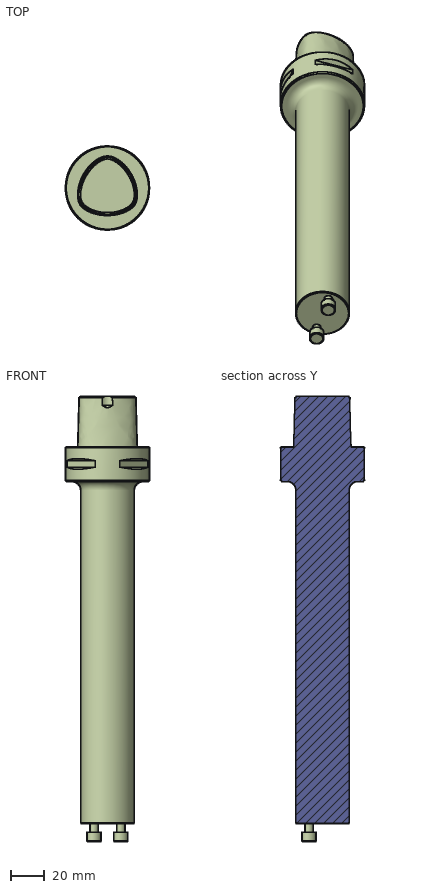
import cadquery as cq
import math

total_height = 264.0
shank_height = 30.0
flange_top = total_height - shank_height
flange_height = 19.8
flange_bottom = flange_top - flange_height
bar_bottom = 10.8

flange_radius = 50.0 / 2
bar_radius = 32.0 / 2
neck_fillet = 5.0
flange_top_chamfer = 0.5
flange_bottom_chamfer = 0.8
bar_chamfer = 0.5

shank_base_radius = 17.7
shank_taper = 1 / 20
lobe_height = 1.3
shank_chamfer = 1.0
outline_points = 48

notch_radius = 4.2
notch_center_y = -18.5
notch_depth = 5.3

groove_z = 224.0
groove_depth = 3.0
groove_floor_height = 3.7
groove_mouth_height = 6.3
groove_angles = (45, 135, 225, 315)

screw_offset = 8.0
screw_head_radius = 8.5 / 2
screw_stem_radius = 5.0 / 2
screw_head_height = 5.8
screw_chamfer = 0.5


def turned_body():
    """Bar, filleted neck and flange revolved about Z."""
    neck_top = flange_bottom - flange_bottom_chamfer
    neck_bottom = neck_top - neck_fillet
    neck_outer_radius = bar_radius + neck_fillet
    fillet_reach = neck_fillet * (1 - math.sqrt(0.5))
    profile = (
        cq.Workplane("XZ")
        .moveTo(0, bar_bottom)
        .lineTo(bar_radius - bar_chamfer, bar_bottom)
        .lineTo(bar_radius, bar_bottom + bar_chamfer)
        .lineTo(bar_radius, neck_bottom)
        .threePointArc(
            (bar_radius + fillet_reach, neck_top - fillet_reach),
            (neck_outer_radius, neck_top),
        )
        .lineTo(flange_radius - flange_bottom_chamfer, neck_top)
        .lineTo(flange_radius, flange_bottom)
        .lineTo(flange_radius, flange_top - flange_top_chamfer)
        .lineTo(flange_radius - flange_top_chamfer, flange_top)
        .lineTo(0, flange_top)
        .close()
    )
    return profile.revolve(360, (0, 0), (0, 1))


def shank_outline(mean_radius, height):
    """Closed three-lobed curve of constant width with one lobe toward +Y."""
    points = []
    for index in range(outline_points):
        normal = 2 * math.pi * index / outline_points
        distance = mean_radius - lobe_height * math.sin(3 * normal)
        shift = -3 * lobe_height * math.cos(3 * normal)
        points.append(cq.Vector(
            distance * math.cos(normal) - shift * math.sin(normal),
            distance * math.sin(normal) + shift * math.cos(normal),
            height,
        ))
    edge = cq.Edge.makeSpline(points, periodic=True)
    return cq.Wire.assembleEdges([edge])


def shank():
    """Tapered shank with a chamfered top edge."""
    chamfer_height = total_height - shank_chamfer
    top_radius = shank_base_radius - shank_height * shank_taper / 2
    base = shank_outline(shank_base_radius, flange_top)
    shoulder = shank_outline(top_radius, chamfer_height)
    top = shank_outline(top_radius - shank_chamfer, total_height)
    taper = cq.Solid.makeLoft([base, shoulder], True)
    chamfer = cq.Solid.makeLoft([shoulder, top], True)
    return cq.Workplane(taper).union(cq.Workplane(chamfer))


def key_notch():
    """Vertical drilled pocket ending in a 45 degree point."""
    floor = total_height - notch_depth
    return (
        cq.Workplane("XZ", origin=(0, notch_center_y, 0))
        .moveTo(0, floor - notch_radius)
        .lineTo(notch_radius, floor)
        .lineTo(notch_radius, total_height)
        .lineTo(0, total_height)
        .close()
        .revolve(360, (0, 0), (0, 1))
    )


def gripper_groove(angle):
    """Straight trapezoidal groove across the flange, facing the given angle."""
    floor_x = flange_radius - groove_depth
    floor_half = groove_floor_height / 2
    mouth_half = groove_mouth_height / 2
    return (
        cq.Workplane("XZ")
        .polyline([
            (floor_x, groove_z - floor_half),
            (flange_radius, groove_z - mouth_half),
            (flange_radius, groove_z + mouth_half),
            (floor_x, groove_z + floor_half),
        ])
        .close()
        .extrude(flange_radius, both=True)
        .rotate((0, 0, 0), (0, 0, 1), angle)
    )


def screw(x, y):
    """Cylindrical screw head at the bottom with a thinner stem up to the bar."""
    head = (
        cq.Workplane("XY")
        .circle(screw_head_radius)
        .extrude(screw_head_height)
        .faces("<Z")
        .chamfer(screw_chamfer)
    )
    stem = cq.Workplane("XY").circle(screw_stem_radius).extrude(bar_bottom)
    return head.union(stem).translate((x, y, 0))


result = turned_body().union(shank()).cut(key_notch())
for groove_angle in groove_angles:
    result = result.cut(gripper_groove(groove_angle))
for side in (-1, 1):
    result = result.union(screw(side * screw_offset, -side * screw_offset))